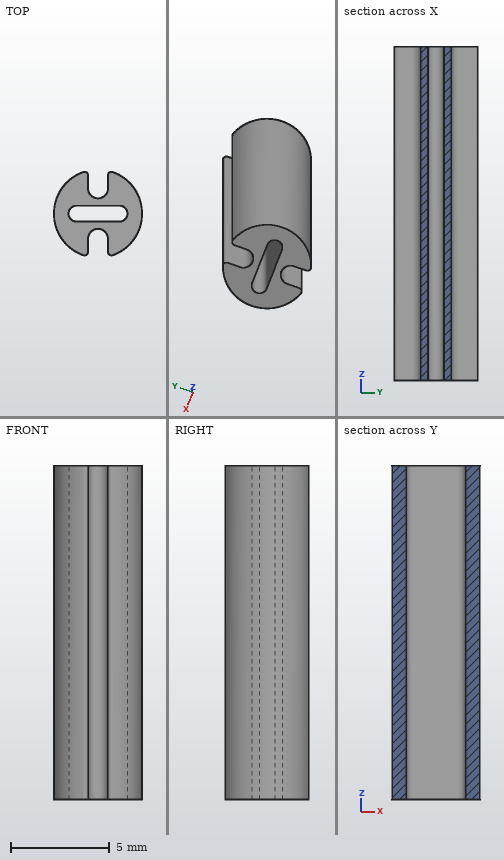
import cadquery as cq

length = 17.0
body_diameter = 4.5
groove_width = 1.0
groove_floor_offset = 0.78
lip_radius = 0.19
slot_length = 3.0
slot_width = 0.8

groove_radius = groove_width / 2
body_radius = body_diameter / 2


def cut_groove(body, side):
    """Cut a round-bottomed groove along the body, on the +Y (1) or -Y (-1) side."""
    floor_center = side * (groove_floor_offset + groove_radius)
    groove = (
        cq.Workplane("XY")
        .moveTo(-groove_radius, side * body_diameter)
        .lineTo(-groove_radius, floor_center)
        .threePointArc((0, side * groove_floor_offset), (groove_radius, floor_center))
        .lineTo(groove_radius, side * body_diameter)
        .close()
        .extrude(length)
    )
    return body.cut(groove)


body = cq.Workplane("XY").circle(body_radius).extrude(length)
for side in (1, -1):
    body = cut_groove(body, side)

mouth_y = (body_radius**2 - groove_radius**2) ** 0.5
for x in (-groove_radius, groove_radius):
    for y in (-mouth_y, mouth_y):
        mouth_edge = cq.selectors.NearestToPointSelector((x, y, length / 2))
        body = body.edges(mouth_edge).fillet(lip_radius)

slot = cq.Workplane("XY").slot2D(slot_length, slot_width).extrude(length)
result = body.cut(slot)